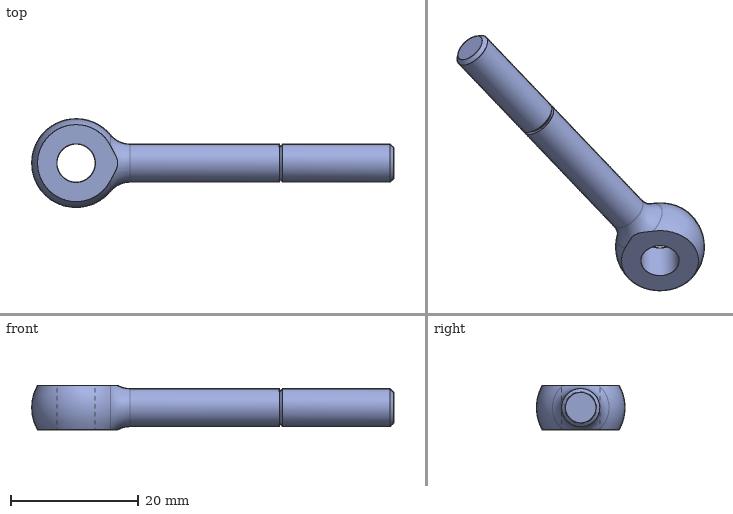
import cadquery as cq
import math

ball_radius = 7.0
eye_thickness = 7.0
hole_diameter = 6.0

shank_radius = 3.0
shank_end = 50.0
neck_fillet_radius = 4.0
end_chamfer = 0.6

end_section_length = 18.0
groove_width = 0.5
groove_depth = groove_width

fillet_center_y = shank_radius + neck_fillet_radius
fillet_center_x = math.sqrt((ball_radius + neck_fillet_radius) ** 2 - fillet_center_y ** 2)
ball_share = ball_radius / (ball_radius + neck_fillet_radius)
ball_tangent = (fillet_center_x * ball_share, fillet_center_y * ball_share)
shank_tangent = (fillet_center_x, shank_radius)


def point_on_ball(angle):
    return (ball_radius * math.cos(angle), ball_radius * math.sin(angle))


def point_on_fillet(angle):
    return (
        fillet_center_x + neck_fillet_radius * math.cos(angle),
        fillet_center_y + neck_fillet_radius * math.sin(angle),
    )


def make_body():
    """Ball, neck, grooved shank and end chamfer, revolved about the X axis."""
    tangent_angle = math.atan2(ball_tangent[1], ball_tangent[0])
    ball_mid = point_on_ball((math.pi + tangent_angle) / 2)
    fillet_start = math.pi + tangent_angle
    fillet_end = 3 * math.pi / 2
    fillet_mid = point_on_fillet((fillet_start + fillet_end) / 2)

    groove_start = shank_end - end_section_length
    groove_end = groove_start + groove_width
    groove_bottom = (groove_start, shank_radius - groove_depth)

    return (
        cq.Workplane("XY")
        .moveTo(-ball_radius, 0)
        .threePointArc(ball_mid, ball_tangent)
        .threePointArc(fillet_mid, shank_tangent)
        .lineTo(groove_start, shank_radius)
        .lineTo(*groove_bottom)
        .lineTo(groove_end, shank_radius)
        .lineTo(shank_end - end_chamfer, shank_radius)
        .lineTo(shank_end, shank_radius - end_chamfer)
        .lineTo(shank_end, 0)
        .close()
        .revolve(360, (0, 0, 0), (1, 0, 0))
    )


def make_flat_slab():
    """Slab whose top and bottom faces trim the ball to the eye thickness."""
    slab_side = 2 * (ball_radius + shank_end)
    return cq.Workplane("XY").box(slab_side, slab_side, eye_thickness)


def make_eye_hole():
    bottom = cq.Workplane("XY").workplane(offset=-eye_thickness / 2)
    return bottom.circle(hole_diameter / 2).extrude(eye_thickness)


result = make_body().intersect(make_flat_slab()).cut(make_eye_hole())